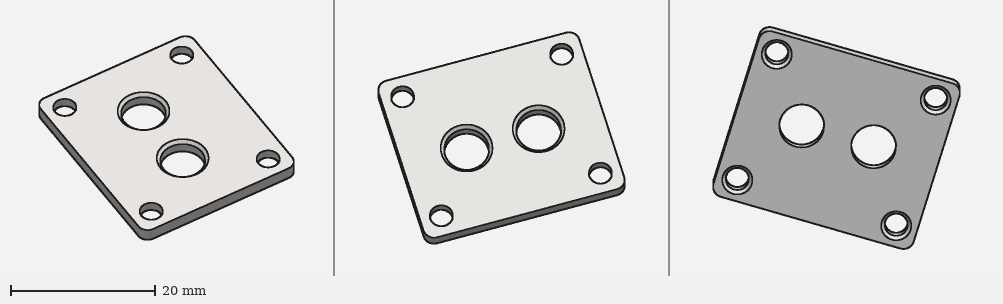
import cadquery as cq

length = 29.0
width = 25.0
thickness = 2.0
corner_radius = 1.5

rim_chamfer = 0.5
rim_angle = 90

mount_diameter = 3.2
mount_rim_diameter = mount_diameter + 2 * rim_chamfer
mount_spacing_x = 23.0
mount_spacing_y = 19.0

opening_diameter = 6.2
opening_spacing = 10.4
opening_offset_y = -0.55
opening_rim_diameter = opening_diameter + 2 * rim_chamfer


def make_plate():
    """Flat plate with rounded corners, resting on Z = 0."""
    plate = cq.Workplane("XY").box(length, width, thickness, centered=(True, True, False))
    return plate.edges("|Z").fillet(corner_radius)


def drill_mounting_holes(body):
    """Four through holes with a 45 degree chamfer around the bottom rim."""
    bottom = body.faces("<Z").workplane(origin=(0, 0, 0))
    holes = bottom.rarray(mount_spacing_x, mount_spacing_y, 2, 2)
    return holes.cskHole(mount_diameter, mount_rim_diameter, rim_angle)


def cut_openings(body):
    """Two through openings with a 45 degree chamfer around the top rim."""
    top = body.faces(">Z").workplane(origin=(0, opening_offset_y, thickness))
    centers = [(-opening_spacing / 2, 0), (opening_spacing / 2, 0)]
    return top.pushPoints(centers).cskHole(opening_diameter, opening_rim_diameter, rim_angle)


result = cut_openings(drill_mounting_holes(make_plate()))